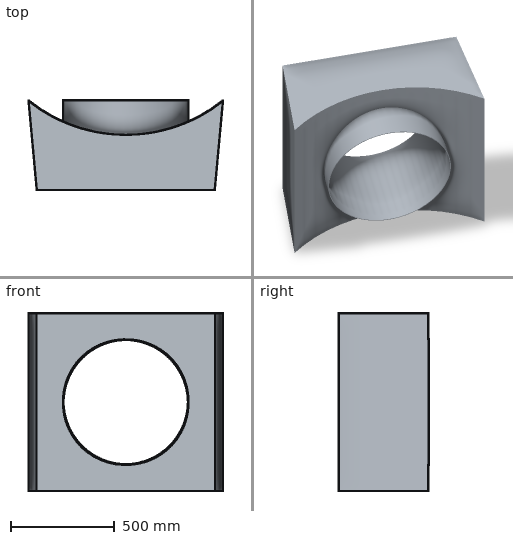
import cadquery as cq

back_width = 940.0
front_size = 860.0
block_depth = 433.0
saddle_radius = 747.0

sleeve_length = 435.0
sleeve_diameter = 607.0
sleeve_wall = 4.0

saddle_depth = saddle_radius - (saddle_radius**2 - (back_width / 2) ** 2) ** 0.5


def cylinder_along_y(diameter):
    """Cylinder from the front face of the block to the rear end of the sleeve."""
    return cq.Workplane("XZ").circle(diameter / 2).extrude(-sleeve_length)


def make_block():
    """Flared block with a saddle-shaped back and a bore through the front face."""
    outline = (
        cq.Workplane("XY")
        .moveTo(-front_size / 2, 0)
        .lineTo(front_size / 2, 0)
        .lineTo(back_width / 2, block_depth)
        .threePointArc((0, block_depth - saddle_depth), (-back_width / 2, block_depth))
        .close()
    )
    body = outline.extrude(front_size / 2, both=True)
    return body.cut(cylinder_along_y(sleeve_diameter))


def make_sleeve():
    """Thin-walled tube that fills the bore and stands out of the saddle."""
    bore_diameter = sleeve_diameter - 2 * sleeve_wall
    return cylinder_along_y(sleeve_diameter).cut(cylinder_along_y(bore_diameter))


block = make_block()
sleeve = make_sleeve()

result = cq.Compound.makeCompound([block.val(), sleeve.val()])